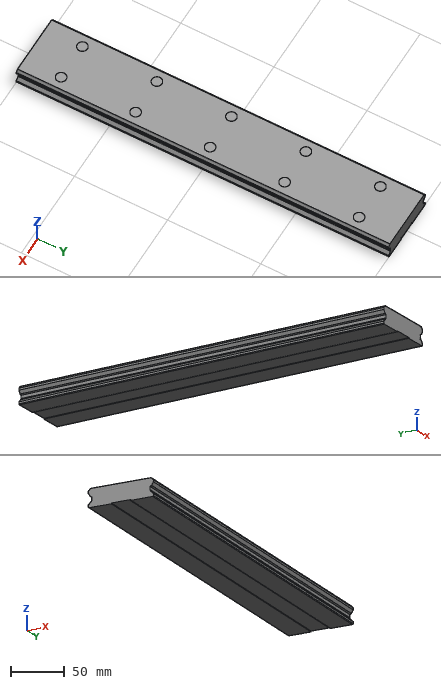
import cadquery as cq

length = 400.0
width = 69.0
total_height = 19.0

cap_diameter = 11.0
cap_height = 0.2
cap_rows = 2
row_spacing = 40.0
caps_per_row = 5
cap_pitch = length / caps_per_row

top_z = total_height - cap_height

bottom_chamfer = 1.0
lower_lip_z = 3.0
lower_raceway_inset = 3.0
lower_raceway_z = 6.0
groove_inset = 3.5
groove_bottom_z = 7.0
groove_top_z = 10.5
upper_raceway_inset = 2.0
upper_raceway_z = 11.0
upper_lip_z = 14.5
top_chamfer_base_z = 16.5
top_chamfer_inset = 2.0
edge_break = 0.5

relief_width = 20.0
relief_depth = 1.0


def rail_body():
    """Full-length bar with a raceway groove along each side and a relieved underside."""
    half_width = width / 2
    chamfer_end_x = half_width - top_chamfer_inset
    right_side = [
        (relief_width / 2, relief_depth),
        (relief_width / 2, 0),
        (half_width - bottom_chamfer, 0),
        (half_width, bottom_chamfer),
        (half_width, lower_lip_z),
        (half_width - lower_raceway_inset, lower_raceway_z),
        (half_width - groove_inset, groove_bottom_z),
        (half_width - groove_inset, groove_top_z),
        (half_width - upper_raceway_inset, upper_raceway_z),
        (half_width, upper_lip_z),
        (half_width, top_chamfer_base_z),
        (chamfer_end_x, top_z - edge_break),
        (chamfer_end_x - edge_break, top_z),
    ]
    left_side = [(-x, z) for x, z in reversed(right_side)]
    return (
        cq.Workplane("XZ")
        .polyline(right_side + left_side)
        .close()
        .extrude(length / 2, both=True)
    )


def screw_caps():
    """Thin round caps on the top face, one per screw position."""
    return (
        cq.Workplane("XY", origin=(0, 0, top_z))
        .rarray(row_spacing, cap_pitch, cap_rows, caps_per_row)
        .circle(cap_diameter / 2)
        .extrude(cap_height)
    )


result = rail_body().union(screw_caps())